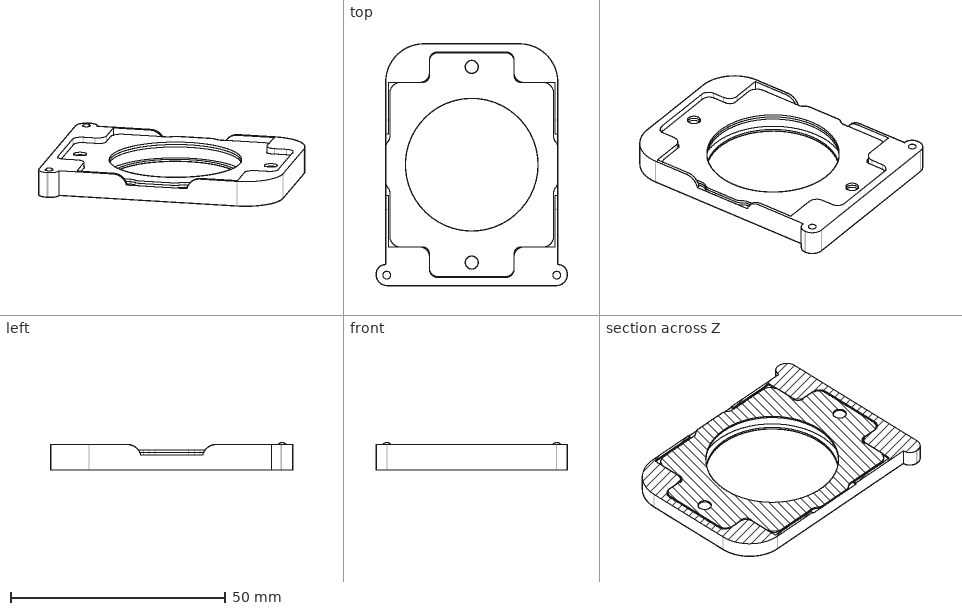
import cadquery as cq
import math

HOUSING_LENGTH = 56.45
HOUSING_HALF_WIDTH = 20.1
HOUSING_HEIGHT = 6.0
REAR_CORNER_RADIUS = 9.0
EAR_HALF_SPAN = 22.3
EAR_LENGTH = 4.95
EAR_FRONT_RADIUS = 2.6
EAR_REAR_RADIUS = EAR_HALF_SPAN - HOUSING_HALF_WIDTH
FRONT_Y = -HOUSING_LENGTH / 2
EAR_Y = FRONT_Y + EAR_LENGTH / 2

BUMP_RADIUS = 0.9
BUMP_HEIGHT = 0.45
BUMP_X = 19.8

PLATE_COUNT = 2
PLATE_STACK_HEIGHT = 1.2
PLATE_THICKNESS = PLATE_STACK_HEIGHT / PLATE_COUNT
PLATE_HALF_WIDTH = 19.1
PLATE_CORNER_RADIUS = 2.5
SIDE_TAB_HALF_LENGTH = 3.95
SIDE_TAB_BLEND_LENGTH = 2.65

BODY_HALF_LENGTH = 19.2
END_TAB_HALF_WIDTH = 9.9
POCKET_HALF_WIDTH = 19.35
POCKET_HALF_LENGTH = 26.3
PLATE_HALF_LENGTH = 26.1
END_TAB_RADIUS = 2.0
POCKET_NECK_RADIUS = 2.2
PLATE_NECK_RADIUS = 1.5
POCKET_FLOOR_Z = 3.5

NOTCH_HALF_LENGTH = 10.4
NOTCH_EDGE_RADIUS = 3.3

BORE_DIAMETER = 30.9
COUNTERBORE_DIAMETER = 33.4
LIP_THICKNESS = 0.5
SCREW_HOLE_DIAMETER = 3.0
SCREW_HOLE_Y = 22.8


def cross_prism(half_width, half_length, neck_radius, base_z, height):
    """Rectangle with a centred tab at each end; the tab corners and the necks are rounded."""
    body = cq.Workplane("XY").box(
        2 * half_width, 2 * BODY_HALF_LENGTH, height, centered=(True, True, False)
    )
    tabs = cq.Workplane("XY").box(
        2 * END_TAB_HALF_WIDTH, 2 * half_length, height, centered=(True, True, False)
    )
    cross = body.union(tabs)
    cross = cross.edges("|Z and (<Y or >Y)").fillet(END_TAB_RADIUS)
    for x in (-END_TAB_HALF_WIDTH, END_TAB_HALF_WIDTH):
        for y in (-BODY_HALF_LENGTH, BODY_HALF_LENGTH):
            neck = cq.selectors.NearestToPointSelector((x, y, height / 2))
            cross = cross.edges("|Z").edges(neck).fillet(neck_radius)
    return cross.translate((0, 0, base_z))


def screw_holes(height):
    return (
        cq.Workplane("XY")
        .pushPoints([(0, -SCREW_HOLE_Y), (0, SCREW_HOLE_Y)])
        .circle(SCREW_HOLE_DIAMETER / 2)
        .extrude(height)
    )


def housing_blank():
    """Main slab with large rear corners, joined to the bar of the two round front ears."""
    slab = (
        cq.Workplane("XY")
        .box(2 * HOUSING_HALF_WIDTH, HOUSING_LENGTH, HOUSING_HEIGHT, centered=(True, True, False))
        .edges("|Z and >Y")
        .fillet(REAR_CORNER_RADIUS)
    )
    front_end = cq.Workplane("XY").box(
        2 * HOUSING_HALF_WIDTH, EAR_LENGTH, HOUSING_HEIGHT, centered=(True, True, False)
    )
    ear_bar = (
        cq.Workplane("XY")
        .box(2 * EAR_HALF_SPAN, EAR_LENGTH, HOUSING_HEIGHT, centered=(True, True, False))
        .edges("|Z and <Y")
        .fillet(EAR_FRONT_RADIUS)
        .edges("|Z and >Y")
        .fillet(EAR_REAR_RADIUS)
    )
    ear_position = (0, EAR_Y, 0)
    return slab.cut(front_end.translate(ear_position)).union(ear_bar.translate(ear_position))


def side_notch():
    """Cut across the full width whose upper edges are rounded over into the rim."""
    arc_centre_z = HOUSING_HEIGHT - NOTCH_EDGE_RADIUS
    floor_rise = POCKET_FLOOR_Z - arc_centre_z
    floor_half = NOTCH_HALF_LENGTH - math.sqrt(NOTCH_EDGE_RADIUS**2 - floor_rise**2)
    mid_offset = NOTCH_EDGE_RADIUS * math.sqrt(0.5)
    mid_half = NOTCH_HALF_LENGTH - mid_offset
    mid_z = arc_centre_z + mid_offset
    return (
        cq.Workplane("YZ")
        .moveTo(-floor_half, POCKET_FLOOR_Z)
        .lineTo(floor_half, POCKET_FLOOR_Z)
        .threePointArc((mid_half, mid_z), (NOTCH_HALF_LENGTH, HOUSING_HEIGHT))
        .lineTo(-NOTCH_HALF_LENGTH, HOUSING_HEIGHT)
        .threePointArc((-mid_half, mid_z), (-floor_half, POCKET_FLOOR_Z))
        .close()
        .extrude(HOUSING_HALF_WIDTH, both=True)
    )


def bump(x):
    """Spherical cap on top of an ear."""
    sphere_radius = (BUMP_RADIUS**2 + BUMP_HEIGHT**2) / (2 * BUMP_HEIGHT)
    sphere_z = HOUSING_HEIGHT + BUMP_HEIGHT - sphere_radius
    return cq.Workplane("XY").sphere(sphere_radius).translate((x, EAR_Y, sphere_z))


def make_housing():
    pocket_depth = HOUSING_HEIGHT - POCKET_FLOOR_Z
    pocket = cross_prism(
        POCKET_HALF_WIDTH, POCKET_HALF_LENGTH, POCKET_NECK_RADIUS, POCKET_FLOOR_Z, pocket_depth
    )
    bore = cq.Workplane("XY").circle(BORE_DIAMETER / 2).extrude(HOUSING_HEIGHT)
    counterbore = (
        cq.Workplane("XY")
        .workplane(offset=LIP_THICKNESS)
        .circle(COUNTERBORE_DIAMETER / 2)
        .extrude(HOUSING_HEIGHT)
    )
    housing = housing_blank().cut(pocket).cut(side_notch()).cut(bore).cut(counterbore)
    housing = housing.cut(screw_holes(HOUSING_HEIGHT))
    for x in (-BUMP_X, BUMP_X):
        housing = housing.union(bump(x))
    return housing


def side_tab(side):
    """Bulge on one long edge of a plate, blended by two arcs at each end."""
    outer = side * HOUSING_HALF_WIDTH
    inner = side * PLATE_HALF_WIDTH
    root_y = SIDE_TAB_HALF_LENGTH + SIDE_TAB_BLEND_LENGTH
    middle_x = (inner + outer) / 2
    middle_y = SIDE_TAB_HALF_LENGTH + SIDE_TAB_BLEND_LENGTH / 2
    half_tab = (
        cq.Workplane("XY")
        .moveTo(outer, 0)
        .lineTo(outer, SIDE_TAB_HALF_LENGTH)
        .tangentArcPoint((middle_x, middle_y), relative=False)
        .tangentArcPoint((inner, root_y), relative=False)
        .lineTo(0, root_y)
        .lineTo(0, 0)
        .close()
        .extrude(PLATE_THICKNESS)
    )
    return half_tab.union(half_tab.mirror("XZ"))


def make_plate(base_z):
    plate = cross_prism(
        PLATE_HALF_WIDTH, PLATE_HALF_LENGTH, PLATE_NECK_RADIUS, 0, PLATE_THICKNESS
    )
    plate = plate.edges("|Z and (<X or >X)").fillet(PLATE_CORNER_RADIUS)
    for side in (-1, 1):
        plate = plate.union(side_tab(side))
    bore = cq.Workplane("XY").circle(BORE_DIAMETER / 2).extrude(PLATE_THICKNESS)
    plate = plate.cut(bore).cut(screw_holes(PLATE_THICKNESS))
    return plate.translate((0, 0, base_z))


housing = make_housing()
plates = [make_plate(POCKET_FLOOR_Z + i * PLATE_THICKNESS) for i in range(PLATE_COUNT)]
result = cq.Compound.makeCompound([housing.val(), *[plate.val() for plate in plates]])